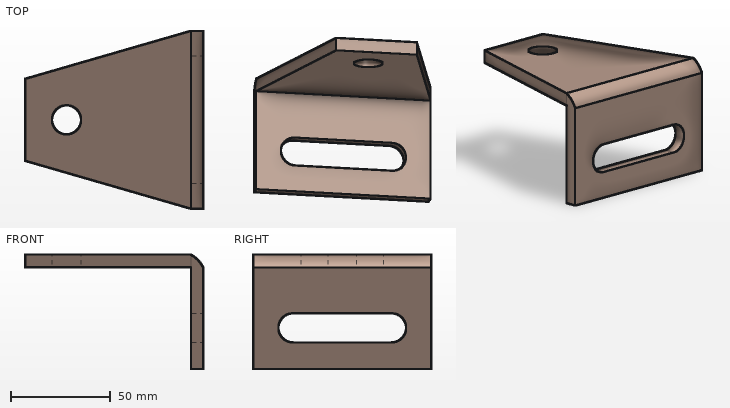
import cadquery as cq

length = 89.1
width = 89.1
height = 57.4

top_thickness = 6.5
wall_thickness = 6.2
tip_width = 41.2
bend_bulge = 0.7

opening_width = 14.4
hole_from_tip = 20.7
slot_length = 63.8
slot_from_bottom = 20.7

wall_x = length - wall_thickness
top_plate_z = height - top_thickness


def make_top_plate():
    """Tapered horizontal plate with a round hole near its narrow end."""
    plate = (
        cq.Workplane("XY", origin=(0, 0, top_plate_z))
        .moveTo(0, -tip_width / 2)
        .lineTo(wall_x, -width / 2)
        .lineTo(wall_x, width / 2)
        .lineTo(0, tip_width / 2)
        .close()
        .extrude(top_thickness)
    )
    hole = (
        cq.Workplane("XY", origin=(hole_from_tip, 0, top_plate_z))
        .circle(opening_width / 2)
        .extrude(top_thickness)
    )
    return plate.cut(hole)


def make_wall():
    """Vertical plate with an arched outer top corner and a horizontal slot."""
    wall = (
        cq.Workplane("XZ")
        .moveTo(wall_x, 0)
        .lineTo(length, 0)
        .lineTo(length, top_plate_z)
        .sagittaArc((wall_x, height), -bend_bulge)
        .close()
        .extrude(width / 2, both=True)
    )
    slot = (
        cq.Workplane("YZ", origin=(wall_x, 0, slot_from_bottom))
        .slot2D(slot_length, opening_width)
        .extrude(wall_thickness)
    )
    return wall.cut(slot)


result = make_top_plate().union(make_wall())